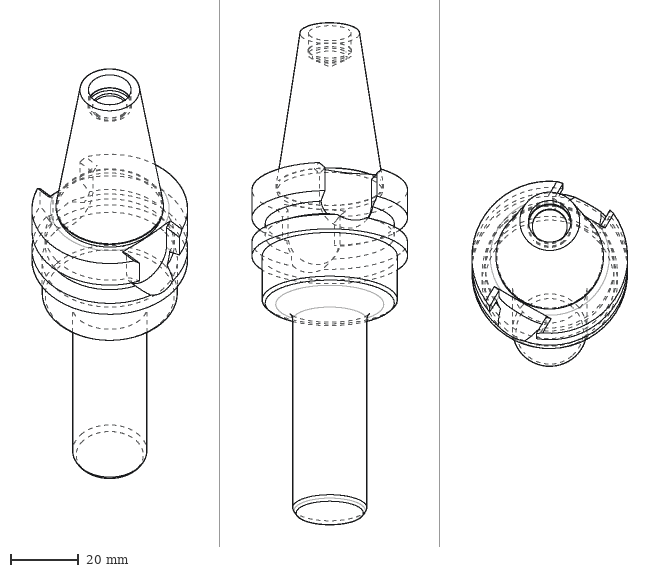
import cadquery as cq
import math

total_height = 151.4
gauge_level = 103.0
flange_top = 102.0
flange_bottom = 81.0
body_bottom = 67.2
shank_blend_level = 60.9

gauge_radius = 15.9
taper_slope = 7 / 24 / 2
taper_top_radius = gauge_radius - taper_slope * (total_height - gauge_level)

relief_neck_radius = 15.6
relief_outer_radius = 17.5
relief_depth = 0.5

flange_radius = 23.0
groove_radius = 19.1
upper_rim_height = 9.0
lower_rim_height = 4.5
groove_side_height = 1.8

body_radius = 20.0
body_chamfer = 0.9
underside_slope_drop = 0.5
shank_radius = 10.98
blend_radius = 5.0
end_bevel_widths = (0.5, 0.6)
end_bevel_heights = (0.9, 0.8)

slot_width = 16.0
slot_bottom = 84.2
slot_floor_distance = 15.9
slot_chamfer = 1.7

bore_radius = 6.28
bore_depth = 5.5
undercut_radius = 6.43
undercut_depth = 6.7
pilot_radius = 5.1
pilot_depth = 7.5
drill_half_angle = math.radians(59)


def revolve_profile(profile):
    return profile.close().revolve(360, (0, 0, 0), (0, 1, 0))


def make_turned_body():
    """Revolve the outside outline, with radius along X and height along Z."""
    bevel_top = sum(end_bevel_heights)
    upper_rim_bottom = flange_top - upper_rim_height
    lower_rim_top = flange_bottom + lower_rim_height
    blend_top = shank_blend_level + blend_radius
    blend_center_radius = shank_radius + blend_radius
    blend_mid = (
        blend_center_radius - blend_radius * math.cos(math.pi / 4),
        shank_blend_level + blend_radius * math.sin(math.pi / 4),
    )
    profile = (
        cq.Workplane("XZ")
        .lineTo(shank_radius - sum(end_bevel_widths), 0)
        .lineTo(shank_radius - end_bevel_widths[0], end_bevel_heights[1])
        .lineTo(shank_radius, bevel_top)
        .lineTo(shank_radius, shank_blend_level)
        .threePointArc(blend_mid, (blend_center_radius, blend_top))
        .lineTo(body_radius - body_chamfer, blend_top + underside_slope_drop)
        .lineTo(body_radius, body_bottom)
        .lineTo(body_radius, flange_bottom)
        .lineTo(flange_radius, flange_bottom)
        .lineTo(flange_radius, lower_rim_top)
        .lineTo(groove_radius, lower_rim_top + groove_side_height)
        .lineTo(groove_radius, upper_rim_bottom - groove_side_height)
        .lineTo(flange_radius, upper_rim_bottom)
        .lineTo(flange_radius, flange_top)
        .lineTo(relief_outer_radius, flange_top)
        .lineTo(relief_neck_radius, flange_top - relief_depth)
        .lineTo(relief_neck_radius, gauge_level)
        .lineTo(gauge_radius, gauge_level)
        .lineTo(taper_top_radius, total_height)
        .lineTo(0, total_height)
    )
    return revolve_profile(profile)


def make_bore():
    """Stepped blind bore with an undercut, a flat step and a drill-point bottom."""
    undercut_top = total_height - bore_depth
    step_level = total_height - undercut_depth
    pilot_level = total_height - pilot_depth
    tip_level = pilot_level - pilot_radius / math.tan(drill_half_angle)
    profile = (
        cq.Workplane("XZ")
        .moveTo(0, total_height)
        .lineTo(bore_radius, total_height)
        .lineTo(bore_radius, undercut_top)
        .lineTo(undercut_radius, undercut_top)
        .lineTo(undercut_radius, step_level)
        .lineTo(pilot_radius, step_level)
        .lineTo(pilot_radius, pilot_level)
        .lineTo(0, tip_level)
    )
    return revolve_profile(profile)


def make_drive_slot(side):
    """Round-bottomed slot with a chamfered mouth; side is -1 or +1 along X."""
    half_width = slot_width / 2
    mouth_half_width = half_width + slot_chamfer
    slot_center_level = slot_bottom + half_width
    slot_length = flange_radius - slot_floor_distance
    return (
        cq.Workplane("YZ", origin=(side * slot_floor_distance, 0, 0))
        .moveTo(-mouth_half_width, gauge_level)
        .lineTo(-mouth_half_width, flange_top)
        .lineTo(-half_width, flange_top - slot_chamfer)
        .lineTo(-half_width, slot_center_level)
        .threePointArc((0, slot_bottom), (half_width, slot_center_level))
        .lineTo(half_width, flange_top - slot_chamfer)
        .lineTo(mouth_half_width, flange_top)
        .lineTo(mouth_half_width, gauge_level)
        .close()
        .extrude(side * slot_length)
    )


result = make_turned_body().cut(make_bore())
for slot_side in (-1, 1):
    result = result.cut(make_drive_slot(slot_side))